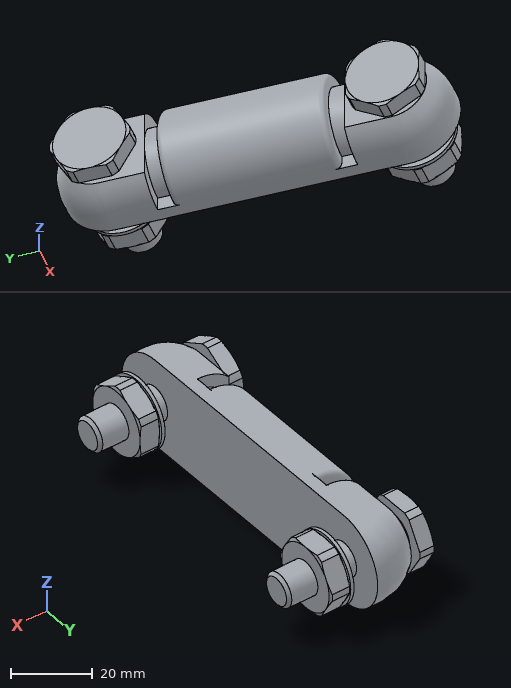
import cadquery as cq
import math

overall_length = 103.0
body_width = 27.0
plate_thickness = 3.8
body_radius = body_width / 2
bolt_offset = overall_length / 2 - body_radius

end_block_height = 9.8
end_block_inner_y = 26.0
grip_length = 43.7
grip_edge_radius = 1.5

across_flats = 19.1
corner_diameter = 20.9
bevel_depth = 0.3
head_thickness = 4.7
collar_diameter = 13.0
collar_length = 1.8
stud_diameter = 10.0
stud_projection = 20.9
stud_chamfer = 0.9
washer_gap = 4.9
washer_thickness = 1.0
nut_thickness = 6.0

axis_x = -plate_thickness
seat_x = axis_x - end_block_height
head_back_x = seat_x - collar_length
head_front_x = head_back_x - head_thickness
nut_x = washer_gap + washer_thickness


def x_cylinder(diameter, start_x, end_x, y):
    """Cylinder along X between two stations."""
    return cq.Workplane("YZ", origin=(start_x, y, 0)).circle(diameter / 2).extrude(end_x - start_x)


def y_cylinder(radius, length):
    """Cylinder along Y on the body axis, centred on the origin in Y."""
    return cq.Workplane("XZ", origin=(axis_x, 0, 0)).circle(radius).extrude(length / 2, both=True)


def front_block(start_y, end_y, depth):
    """Block as wide as the body, reaching forward from the front of the plate."""
    centre = (axis_x - depth / 2, (start_y + end_y) / 2, 0)
    return cq.Workplane("XY").box(depth, end_y - start_y, body_width).translate(centre)


def back_plate():
    """Flat plate with round ends that carries the body and the bolts."""
    outline = cq.Workplane("YZ", origin=(axis_x, 0, 0)).slot2D(overall_length, body_width)
    return outline.extrude(plate_thickness)


def grip():
    """Half-round grip with rounded rims and a thinner neck at each end."""
    barrel = y_cylinder(body_radius, grip_length).edges("%CIRCLE").fillet(grip_edge_radius)
    neck = y_cylinder(end_block_height, 2 * end_block_inner_y)
    front_half = front_block(-end_block_inner_y, end_block_inner_y, body_radius)
    return barrel.union(neck).intersect(front_half)


def end_blocks():
    """Rounded bar with domed ends, flattened at the front and open in the middle."""
    bar = y_cylinder(body_radius, 2 * bolt_offset)
    for y in (-bolt_offset, bolt_offset):
        bar = bar.union(cq.Workplane("XY").sphere(body_radius).translate((axis_x, y, 0)))
    lower_end = front_block(-overall_length / 2, -end_block_inner_y, end_block_height)
    upper_end = front_block(end_block_inner_y, overall_length / 2, end_block_height)
    return bar.intersect(lower_end.union(upper_end))


def hexagon(start_x, thickness, y, turn, front_bevel, back_bevel=0):
    """Hexagon along X with turned corners and a bevel on either end face."""
    across_corners = across_flats / math.cos(math.pi / 6)
    prism = cq.Workplane("YZ").polygon(6, across_corners).extrude(thickness)
    prism = prism.rotate((0, 0, 0), (1, 0, 0), turn)
    flat_radius = across_flats / 2
    corner_radius = corner_diameter / 2
    turned_shape = (
        cq.Workplane("XY")
        .polyline([
            (0, 0),
            (0, flat_radius),
            (front_bevel, corner_radius),
            (thickness - back_bevel, corner_radius),
            (thickness, flat_radius),
            (thickness, 0),
        ])
        .close()
        .revolve(360, (0, 0, 0), (1, 0, 0))
    )
    return prism.intersect(turned_shape).translate((start_x, y, 0))


def bolt_set(y, turn):
    """Bolt with its collar, washer and nut; the hexagons are turned about X by the angle."""
    stud = x_cylinder(stud_diameter, head_back_x, stud_projection, y).faces(">X").chamfer(stud_chamfer)
    collar = x_cylinder(collar_diameter, head_back_x, seat_x, y)
    washer = x_cylinder(corner_diameter, washer_gap, nut_x, y)
    head = hexagon(head_front_x, head_thickness, y, turn, bevel_depth)
    nut = hexagon(nut_x, nut_thickness, y, turn, bevel_depth, bevel_depth)
    return stud.union(collar).union(washer).union(head).union(nut)


result = back_plate().union(grip()).union(end_blocks())
result = result.union(bolt_set(bolt_offset, 0)).union(bolt_set(-bolt_offset, 90))